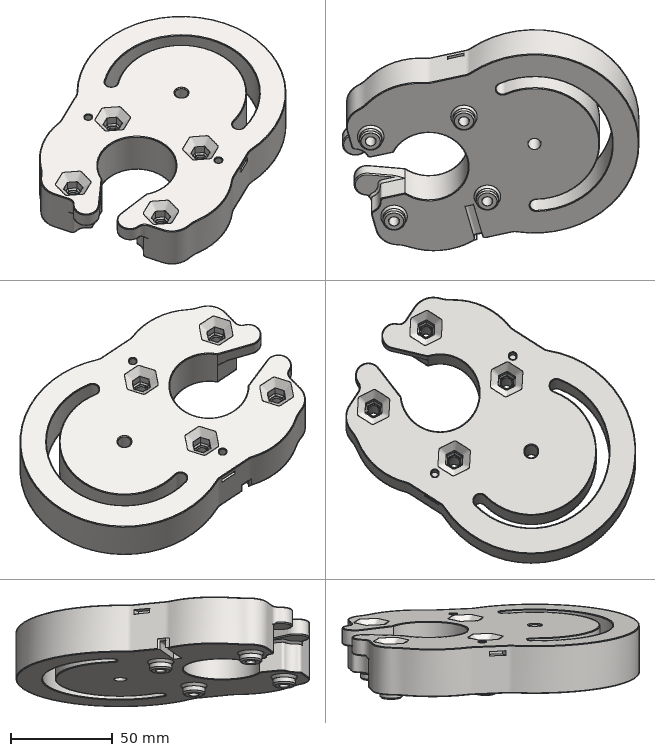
import math

import cadquery as cq

plate_height = 23.9
pin_length = 4.5
disc_radius = 51.255
disc_y = 53.3
neck_half_width = 46.4
edge_chamfer = 0.4

shoulder_radius = 35.0
shoulder_x = 13.6
shoulder_y = -0.9
corner_radius = 11.2
corner_x = 29.1
arm_end_y = -34.07
corner_y = arm_end_y + corner_radius
neck_top_radius = 5.0
neck_bottom_radius = 7.0
nose_root_radius = 3.8
arm_waist_radius = 19.5

opening_radius = 19.25
mouth_half_width = 12.0
nose_radius = 6.3
nose_x = 11.8
nose_y = -34.305
nose_edge_chamfer = 0.6
nose_thickness = 8.3
relief_radius = 6.6
relief_mouth_radius = 1.5
relief_end_radius = 2.0
relief_chamfer = 1.2
relief_half_width = 22.0
relief_reach = 20.0

slot_radius = 35.1
slot_width = 6.3
slot_end_angle = 12.5
pivot_diameter = 6.3
pivot_chamfer = 0.5

bolt_pitch = 47.14
bolt_diameter = 5.2
bolt_rim_diameter = 6.3
hex_top_flats = 15.5
hex_flats = 8.2
hex_floor_flats = 6.6
hex_taper_depth = 3.5
hex_depth = 8.0
hex_floor_taper = 0.8
hex_corner_radius = 2.2
pin_diameter = 11.0
pin_tip_chamfer = 0.8
pin_root_flare = 1.0
pin_root_height = 1.5

blind_x = 35.0
blind_y = 19.7
blind_diameter = 3.5
blind_depth = 6.0
side_pocket_low_y = 21.0
side_pocket_high_y = 29.2
side_pocket_top_depth = 2.7
side_pocket_height = 2.2
side_pocket_depth = 4.0
side_pocket_slant = 1.0

channel_low_y = 11.6
channel_high_y = 15.9
channel_height = 4.3
channel_corner_radius = 1.0
channel_flare = 1.0
channel_depth = 20.0


def circle_meeting(center_a, radius_a, center_b, radius_b):
    """Return both intersection points of two circles."""
    dx = center_b[0] - center_a[0]
    dy = center_b[1] - center_a[1]
    gap = math.hypot(dx, dy)
    along = (gap**2 + radius_a**2 - radius_b**2) / (2 * gap)
    across = math.sqrt(radius_a**2 - along**2)
    foot_x = center_a[0] + along * dx / gap
    foot_y = center_a[1] + along * dy / gap
    side_x = across * dy / gap
    side_y = across * dx / gap
    return (foot_x + side_x, foot_y - side_y), (foot_x - side_x, foot_y + side_y)


def flip(point):
    """Mirror a point across X = 0."""
    return -point[0], point[1]


def fillet_upright_edge(solid, point, radius):
    """Round the vertical edge nearest to a point in plan."""
    nearest = cq.selectors.NearestToPointSelector((*point, plate_height / 2))
    return solid.edges("|Z").edges(nearest).fillet(radius)


def on_circle(center, radius, angle):
    return (
        center[0] + radius * math.cos(math.radians(angle)),
        center[1] + radius * math.sin(math.radians(angle)),
    )


def make_plate():
    """Plate outline, symmetric across X = 0, extruded and with its corners blended."""
    shoulder = (-shoulder_x, shoulder_y)
    corner = (-corner_x, corner_y)
    nose = (-nose_x, nose_y)

    neck_top = (-neck_half_width, disc_y - math.sqrt(disc_radius**2 - neck_half_width**2))
    shoulder_reach = neck_half_width - shoulder_x
    neck_bottom = (-neck_half_width, shoulder_y + math.sqrt(shoulder_radius**2 - shoulder_reach**2))
    arm_waist = min(circle_meeting(shoulder, shoulder_radius, corner, corner_radius))
    corner_end = (-corner_x, arm_end_y)
    nose_root = (-nose_x - math.sqrt(nose_radius**2 - (arm_end_y - nose_y) ** 2), arm_end_y)

    mouth_top = (-mouth_half_width, -math.sqrt(opening_radius**2 - mouth_half_width**2))
    to_mouth = math.degrees(math.atan2(mouth_top[1] - nose_y, mouth_top[0] - nose[0]))
    distance = math.hypot(mouth_top[1] - nose_y, mouth_top[0] - nose[0])
    tangent_angle = to_mouth - math.degrees(math.acos(nose_radius / distance))
    nose_tangent = on_circle(nose, nose_radius, tangent_angle)

    left_side = [
        (neck_top, None, neck_bottom),
        (neck_bottom, (-shoulder_x - shoulder_radius, shoulder_y), arm_waist),
        (arm_waist, on_circle(corner, corner_radius, 225), corner_end),
        (corner_end, None, nose_root),
        (nose_root, (-nose_x, nose_y - nose_radius), nose_tangent),
        (nose_tangent, None, mouth_top),
    ]
    right_side = [
        (flip(end), middle and flip(middle), flip(start)) for start, middle, end in reversed(left_side)
    ]
    opening = (mouth_top, (0, opening_radius), flip(mouth_top))
    disc = (flip(neck_top), (0, disc_y + disc_radius), neck_top)

    outline = cq.Workplane("XY").moveTo(*neck_top)
    for _, middle, end in [*left_side, opening, *right_side, disc]:
        if middle:
            outline = outline.threePointArc(middle, end)
        else:
            outline = outline.lineTo(*end)
    plate = outline.close().extrude(plate_height)

    for point, radius in (
        (neck_top, neck_top_radius),
        (neck_bottom, neck_bottom_radius),
        (arm_waist, arm_waist_radius),
        (nose_root, nose_root_radius),
    ):
        for corner_point in (point, flip(point)):
            plate = fillet_upright_edge(plate, corner_point, radius)
    return plate


def make_nose_relief():
    """Space below the left nose, which leaves the nose as an overhang."""
    height = plate_height - nose_thickness
    blank = cq.Workplane("XY")
    nose_circle = blank.center(-nose_x, nose_y).circle(relief_radius).extrude(height)
    mouth_start_y = -math.sqrt(opening_radius**2 - mouth_half_width**2) + relief_chamfer
    mouth_length = mouth_start_y - arm_end_y + relief_reach
    mouth_side = blank.center(0, mouth_start_y - mouth_length / 2)
    mouth_side = mouth_side.rect(2 * mouth_half_width, mouth_length).extrude(height)
    arm_end = blank.center(0, arm_end_y - relief_reach / 2)
    arm_end = arm_end.rect(2 * relief_half_width, relief_reach).extrude(height)
    relief = nose_circle.union(mouth_side).union(arm_end)

    mouth_meet_y = nose_y + math.sqrt(relief_radius**2 - (mouth_half_width - nose_x) ** 2)
    end_meet_x = -nose_x - math.sqrt(relief_radius**2 - (arm_end_y - nose_y) ** 2)
    relief = fillet_upright_edge(relief, (-mouth_half_width, mouth_meet_y), relief_mouth_radius)
    relief = fillet_upright_edge(relief, (end_meet_x, arm_end_y), relief_end_radius)
    return relief.faces(">Z").edges().chamfer(relief_chamfer)


def make_arc_slot():
    """Slot around the disc centre with round ends."""
    center = (0, disc_y)
    outer_radius = slot_radius + slot_width / 2
    inner_radius = slot_radius - slot_width / 2
    outer_end = on_circle(center, outer_radius, -slot_end_angle)
    inner_end = on_circle(center, inner_radius, -slot_end_angle)
    tip = on_circle(on_circle(center, slot_radius, -slot_end_angle), slot_width / 2, -slot_end_angle - 90)
    return (
        cq.Workplane("XY")
        .moveTo(*outer_end)
        .threePointArc((0, disc_y + outer_radius), flip(outer_end))
        .threePointArc(flip(tip), flip(inner_end))
        .threePointArc((0, disc_y + inner_radius), inner_end)
        .threePointArc(tip, outer_end)
        .close()
        .extrude(plate_height)
    )


def make_hex(flats_low, flats_high, z_low, z_high):
    """Hexagonal frustum with two corners on the Y axis."""
    to_diameter = 1 / math.cos(math.pi / 6)
    return (
        cq.Workplane("XY", origin=(0, 0, z_low))
        .transformed(rotate=(0, 0, 90))
        .polygon(6, flats_low * to_diameter)
        .workplane(offset=z_high - z_low)
        .polygon(6, flats_high * to_diameter)
        .loft(combine=True)
    )


def make_bolt_cut():
    """Hexagonal pocket from the top and the bolt hole below it."""
    taper_z = plate_height - hex_taper_depth
    floor_z = plate_height - hex_depth
    mouth = make_hex(hex_flats, hex_top_flats, taper_z, plate_height)
    mouth = mouth.edges("not #Z").fillet(hex_corner_radius)
    socket = make_hex(hex_flats, hex_flats, floor_z, taper_z)
    floor = make_hex(hex_floor_flats, hex_flats, floor_z - hex_floor_taper, floor_z)
    hole_top = floor_z - hex_floor_taper
    hole = (
        cq.Workplane("XY", origin=(0, 0, hole_top))
        .circle(bolt_diameter / 2)
        .extrude(-(hole_top + pin_length))
    )
    rim_depth = (bolt_rim_diameter - bolt_diameter) / 2
    rim = cq.Workplane(cq.Solid.makeCone(bolt_diameter / 2, bolt_rim_diameter / 2, rim_depth))
    rim = rim.translate((0, 0, hole_top - rim_depth))
    return mouth.union(socket).union(floor).union(hole).union(rim)


def make_pin():
    """Locating pin under a bolt hole, with a conical root and a chamfered tip."""
    pin_radius = pin_diameter / 2
    pin = cq.Workplane("XY").circle(pin_radius).extrude(-pin_length)
    pin = pin.faces("<Z").chamfer(pin_tip_chamfer)
    root = cq.Workplane(cq.Solid.makeCone(pin_radius, pin_radius + pin_root_flare, pin_root_height))
    return pin.union(root.translate((0, 0, -pin_root_height)))


def make_side_pocket():
    """Shallow slot in the left side of the neck; its upper-Y wall slants inward."""
    return (
        cq.Workplane("XY", origin=(0, 0, plate_height - side_pocket_top_depth))
        .polyline(
            [
                (-neck_half_width, side_pocket_low_y),
                (-neck_half_width, side_pocket_high_y),
                (-neck_half_width + side_pocket_depth, side_pocket_high_y - side_pocket_slant),
                (-neck_half_width + side_pocket_depth, side_pocket_low_y),
            ]
        )
        .close()
        .extrude(-side_pocket_height)
    )


def make_channel():
    """Cable channel with rounded upper corners and a flared entry on the left side."""
    width = channel_high_y - channel_low_y
    entry = cq.Workplane("YZ", origin=(-neck_half_width, (channel_high_y + channel_low_y) / 2, 0))
    run = entry.rect(width, 2 * channel_height).extrude(channel_depth)
    run = run.edges("|X").fillet(channel_corner_radius)
    flare = entry.rect(width + 2 * channel_flare, 2 * (channel_height + channel_flare))
    flare = flare.extrude(channel_flare, taper=45)
    flare = flare.edges("not(#X or <X or >X)").fillet(channel_corner_radius)
    return run.union(flare)


def cut_round_holes(plate):
    """Blind holes in the neck and the through pivot hole, chamfered at the top."""
    top = plate.faces(">Z").workplane(origin=(0, 0, 0))
    plate = top.pushPoints([(-blind_x, blind_y), (blind_x, blind_y)]).cskHole(
        blind_diameter, blind_diameter + 2 * edge_chamfer, 90, blind_depth
    )
    top = plate.faces(">Z").workplane(origin=(0, disc_y, 0))
    return top.cskHole(pivot_diameter, pivot_diameter + 2 * pivot_chamfer, 90)


def cut_nose_reliefs(plate):
    """Undercut both noses and chamfer the lower edge of each round tip."""
    relief = make_nose_relief()
    plate = plate.cut(relief).cut(relief.mirror("YZ"))
    for side in (-1, 1):
        tip = (side * nose_x, nose_y - nose_radius, plate_height - nose_thickness)
        tip_edge = cq.selectors.NearestToPointSelector(tip)
        plate = plate.edges(tip_edge).chamfer(nose_edge_chamfer)
    return plate


result = cut_nose_reliefs(make_plate())
result = result.cut(make_arc_slot())
result = result.faces("<Z or >Z").chamfer(edge_chamfer)

bolt_cut = make_bolt_cut()
pin = make_pin()
for bolt_x in (-bolt_pitch / 2, bolt_pitch / 2):
    for bolt_y in (-bolt_pitch / 2, bolt_pitch / 2):
        result = result.union(pin.translate((bolt_x, bolt_y, 0)))
        result = result.cut(bolt_cut.translate((bolt_x, bolt_y, 0)))

side_pocket = make_side_pocket()
result = result.cut(side_pocket).cut(side_pocket.mirror("YZ"))
result = result.cut(make_channel())
result = cut_round_holes(result)